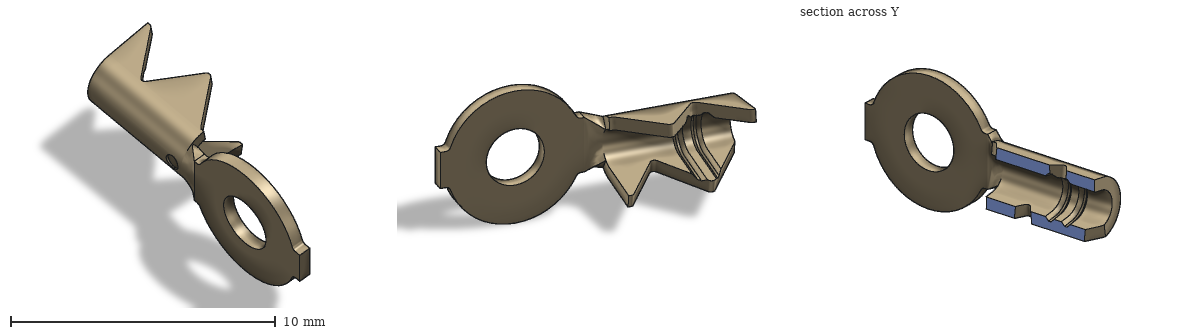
import cadquery as cq
import math

thickness = 0.52

ring_radius = 2.79
hole_diameter = 2.36
tab_end_x = 3.06
tab_width = 1.53
corner_radius = 0.2

overall_length = 11.81
barrel_length = 5.2
barrel_radius = 1.31
barrel_depth = 3.17
lean_degrees = 8.4

tooth_pitch = 1.667
flank_count = 3
tooth_flat = 0.18
valley_height = 0.06
tooth_radius = 0.15

first_groove = 1.39
groove_pitch = 0.765
groove_count = 2
groove_floor = 0.11
groove_depth = 0.15

dimple_diameter = 0.65
dimple_depth = 0.1
dimple_to_barrel_end = 0.5

neck_flat_x = -2.81
neck_barrel_width = 2.16
neck_ring_width = 2.3

lean = math.radians(lean_degrees)
barrel_start_x = tab_end_x - overall_length
barrel_end_x = barrel_start_x + barrel_length
barrel_middle_x = (barrel_start_x + barrel_end_x) / 2
inner_radius = barrel_radius - thickness
arc_end_y = barrel_radius * (1 - math.sin(lean))
arc_end_z = barrel_radius * math.cos(lean)
inner_arc_end_y = barrel_radius - inner_radius * math.sin(lean)
arm_height = (barrel_depth - inner_arc_end_y) / math.cos(lean)
end_margin = (barrel_length - flank_count * tooth_pitch) / 2
half_flat = tooth_flat / 2
groove_offsets = [first_groove + i * groove_pitch for i in range(groove_count)]


def back_point(radius, angle):
    """Point (y, z) on the round back; the angle is measured from its lowest point."""
    return (barrel_radius - radius * math.cos(angle), radius * math.sin(angle))


def back_sector(half_angle):
    """Cross-section wire of the round back, within +-half_angle, at the barrel's ring end."""
    def at(radius, angle):
        return cq.Vector(barrel_end_x, *back_point(radius, angle))

    outer = [at(barrel_radius, a) for a in (-half_angle, 0, half_angle)]
    inner = [at(inner_radius, a) for a in (half_angle, 0, -half_angle)]
    return cq.Wire.assembleEdges([
        cq.Edge.makeThreePointArc(*outer),
        cq.Edge.makeLine(outer[-1], inner[0]),
        cq.Edge.makeThreePointArc(*inner),
        cq.Edge.makeLine(inner[-1], outer[0]),
    ])


def make_ring():
    """Flat ring, its end tab and the flat part of the neck."""
    def strip(x_start, x_end, width):
        return (
            cq.Workplane("XY")
            .box(x_end - x_start, thickness, width, centered=(False, False, True))
            .translate((x_start, 0, 0))
        )

    ring = cq.Workplane("XZ").circle(ring_radius).extrude(-thickness)
    ring = ring.union(strip(0, tab_end_x, tab_width))
    ring = ring.union(strip(neck_flat_x, 0, neck_ring_width))
    tab_corner_x = math.sqrt(ring_radius**2 - (tab_width / 2)**2)
    neck_corner_x = -math.sqrt(ring_radius**2 - (neck_ring_width / 2)**2)
    for x, width in ((tab_corner_x, tab_width), (neck_corner_x, neck_ring_width)):
        for z in (-width / 2, width / 2):
            corner = cq.selectors.NearestToPointSelector((x, thickness / 2, z))
            ring = ring.edges("|Y").edges(corner).fillet(corner_radius)
    hole = cq.Workplane("XZ").circle(hole_diameter / 2).extrude(-thickness)
    return ring.cut(hole)


def groove_section(plane, centre, base):
    """Trapezoid with 45 degree walls, groove_depth tall, standing on the given base level."""
    half_floor = groove_floor / 2
    half_mouth = half_floor + groove_depth
    return cq.Workplane(plane).polyline([
        (centre - half_mouth, base),
        (centre + half_mouth, base),
        (centre + half_floor, base + groove_depth),
        (centre - half_floor, base + groove_depth),
    ]).close()


def make_back():
    """Round back of the barrel with its grooves."""
    half_angle = math.pi / 2 - lean
    back = cq.Workplane(cq.Solid.extrudeLinear(
        back_sector(half_angle), [], cq.Vector(-barrel_length, 0, 0)))
    for offset in groove_offsets:
        groove = groove_section("XY", barrel_start_x + offset, inner_radius)
        groove = groove.revolve(360, (0, 0, 0), (1, 0, 0)).translate((0, barrel_radius, 0))
        back = back.cut(groove)
    return back


def lean_onto_back(flat_body):
    """Lean a body modelled flat, with the arm's outer face at Z = 0, and set it on the upper arc end."""
    leaned = flat_body.rotate((0, 0, 0), (1, 0, 0), lean_degrees)
    return leaned.translate((barrel_start_x, arc_end_y, arc_end_z))


def turn_half_round(body):
    """Turn an upper arm body half round about the barrel middle to make it a lower one."""
    return body.rotate((barrel_middle_x, 0, 0), (barrel_middle_x, 1, 0), 180)


def make_arm(grooves):
    """Upper arm, starting with a tooth at the wire end; grooves are offsets from that end."""
    outline = [(0, 0), (0, arm_height)]
    for i in range(flank_count):
        levels = (arm_height, valley_height) if i % 2 == 0 else (valley_height, arm_height)
        flank_start = end_margin + i * tooth_pitch + half_flat
        flank_end = end_margin + (i + 1) * tooth_pitch - half_flat
        outline += [(flank_start, levels[0]), (flank_end, levels[1])]
    outline += [(barrel_length, valley_height), (barrel_length, 0)]

    arm = cq.Workplane("XY").polyline(outline).close().extrude(-thickness)
    arm = (
        arm.edges("|Z")
        .filter(lambda edge: end_margin < edge.Center().x < barrel_length - end_margin)
        .fillet(tooth_radius)
    )
    for offset in grooves:
        arm = arm.cut(groove_section("XZ", offset, -thickness).extrude(-arm_height))
    return lean_onto_back(arm)


def make_end_flank_cut():
    """Wedge that runs an arm's last tooth flank straight out to the end, into the round back."""
    flank_top_x = end_margin + (flank_count - 1) * tooth_pitch + half_flat
    flank_slope = (arm_height - valley_height) / (tooth_pitch - tooth_flat)
    end_height = arm_height - flank_slope * (barrel_length - flank_top_x)
    wedge = cq.Workplane("XY").polyline([
        (flank_top_x, arm_height),
        (barrel_length, arm_height),
        (barrel_length, end_height),
    ]).close()
    wedge = wedge.extrude(thickness, both=True)
    return lean_onto_back(wedge.translate((0, 0, -thickness / 2)))


def make_neck():
    """Transition from the curved barrel section to the flat ring."""
    half_width = neck_ring_width / 2
    corners = [(0, -half_width), (0, half_width), (thickness, half_width), (thickness, -half_width)]
    flat_end = cq.Wire.makePolygon([cq.Vector(neck_flat_x, *c) for c in corners], close=True)
    half_angle = math.asin(neck_barrel_width / 2 / barrel_radius)
    return cq.Workplane(cq.Solid.makeLoft([back_sector(half_angle), flat_end], True))


def make_dimple():
    return (
        cq.Workplane("XZ")
        .center(barrel_end_x - dimple_to_barrel_end, 0)
        .circle(dimple_diameter / 2)
        .extrude(-dimple_depth)
    )


upper_arm = make_arm(groove_offsets)
lower_arm = turn_half_round(make_arm([barrel_length - offset for offset in groove_offsets]))

result = make_back().union(upper_arm).union(lower_arm)
result = result.cut(turn_half_round(make_end_flank_cut()))
result = result.union(make_neck()).union(make_ring()).cut(make_dimple())